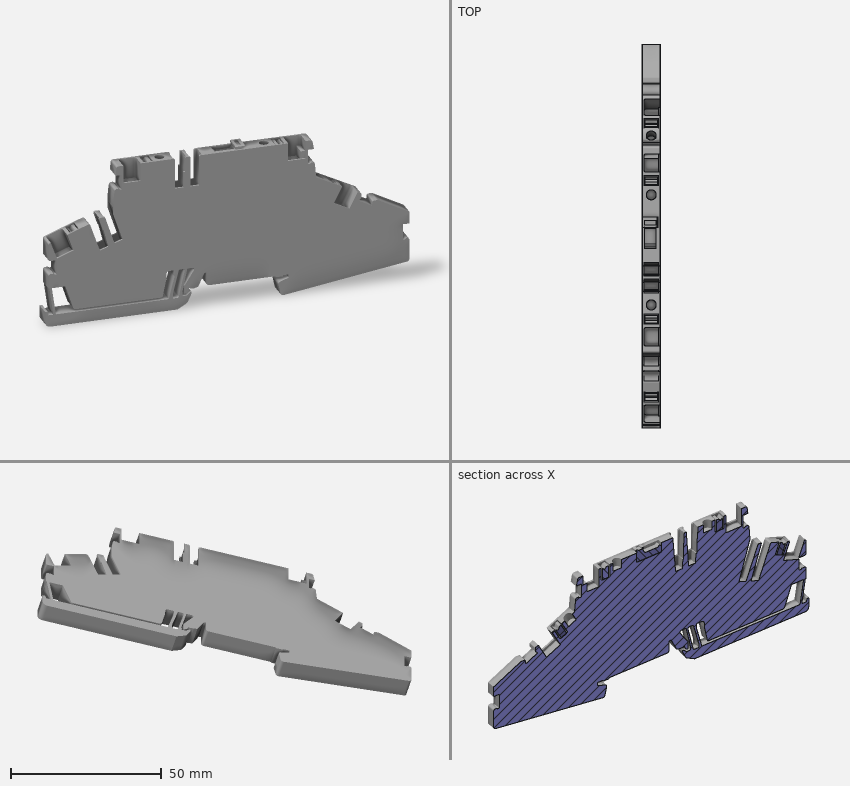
import cadquery as cq
import math

thickness = 6.1
length = 127.3
height = 56.1
top_z = 54.8
mid_x = thickness / 2

upper_notch_bottom = 46.7
upper_notch_top = 51.5
slot_floor_z = 44.0
rail_seat_z = 7.3
foot_top_z = 4.2
spring_top_z = 14.4
edge_round = 0.5
notch_lip_round = 0.8
notch_groove_width = 0.6
notch_groove_depth = 0.4
slot_skin = 0.6
hollow_floor_z = 40.2

pocket_length = 6.1
pocket_depth = 7.4
pocket_wall = 0.6
pocket_round = 0.8
side_opening_depth = 6.4
wire_stop_length = 1.5
wire_stop_depth = 3.8
button_gap = 0.4
button_slot_start = 1.1
button_slot_length = 3.3
button_slot_width = 5.0
button_slot_depth = 5.1
button_recess = 0.3
button_groove_width = 1.7
button_groove_depth = 0.9
test_hole_offset = 7.5
test_hole_diameter = 3.3
test_hole_depth = 3.4

lever_slot_x = 0.8
lever_slot_width = 3.8
lever_slot_depth = 3.8
lever_arm_end = 59.5
lever_arm_recess = 1.3
lever_ridge_width = 1.5
lever_ridge_height = 0.6
lever_ramp_length = 0.6
lever_neck_start = 66.8
lever_neck_end = 69.5
lever_head_start = 66.5
lever_head_end = 70.0
lever_head_width = 5.3
lever_head_thickness = 0.6
lever_head_chamfer = 0.4
lever_recess_start = 67.5
lever_recess_end = 68.8
lever_recess_depth = 0.5

left_slope = 27.0
left_face_low = (110.5, 33.1)
left_face_high_y = 94.7
right_slope = 20.0
right_face_low = (1.1, 30.2)
right_face_high_y = 15.5


def face_height(y, low_point, slope):
    """Height at `y` on a tilted face that rises away from `low_point`."""
    return low_point[1] + abs(y - low_point[0]) * math.tan(math.radians(slope))


def rounded_outline(corners):
    """Closed wire in the YZ plane through (y, z) or (y, z, radius) corners."""
    count = len(corners)
    cuts = []
    for i, corner in enumerate(corners):
        point = cq.Vector(*corner[:2])
        radius = corner[2] if len(corner) > 2 else 0
        if not radius:
            cuts.append((point, None, point))
            continue
        before = cq.Vector(*corners[i - 1][:2]) - point
        after = cq.Vector(*corners[(i + 1) % count][:2]) - point
        half_angle = before.getAngle(after) / 2
        setback = radius / math.tan(half_angle)
        bisector = (before.normalized() + after.normalized()).normalized()
        middle = point + bisector * (radius / math.sin(half_angle) - radius)
        cuts.append((point + before.normalized() * setback, middle, point + after.normalized() * setback))
    sketch = cq.Workplane("YZ").moveTo(cuts[0][2].x, cuts[0][2].y)
    for start, middle, end in cuts[1:] + cuts[:1]:
        sketch = sketch.lineTo(start.x, start.y)
        if middle:
            sketch = sketch.threePointArc((middle.x, middle.y), (end.x, end.y))
    return sketch.close()


def notch_lip(outer_y, z, inner_y):
    """Lower edge of a grip notch: a rounded lip outside and a shallow groove at the back."""
    inward = math.copysign(1, inner_y - outer_y)
    groove_y = inner_y - inward * notch_groove_width
    return [
        (outer_y, z, notch_lip_round),
        (groove_y - inward * notch_groove_depth, z),
        (groove_y, z - notch_groove_depth),
        (inner_y, z - notch_groove_depth),
    ]


rail_hook = [
    (length, 6.2, 1.0),
    (82.3, -0.1, 1.0),
    (81.3, 4.8, 1.0),
    (85.1, 6.1),
    (85.1, rail_seat_z),
    (83.0, rail_seat_z),
    (83.0, 6.9),
    (80.5, 6.9),
    (80.5, rail_seat_z),
    (56.4, rail_seat_z, 0.9),
    (56.4, 12.0),
    (55.6, 12.0),
]
snap_finger = [
    (53.5, 7.3),
    (52.2, 6.9),
    (50.8, 6.9),
    (50.3, 7.3),
    (50.1, 6.1),
    (49.2, 5.3),
    (48.6, 5.3),
    (48.6, 8.3),
    (52.5, spring_top_z, 0.6),
    (49.6, spring_top_z, 0.4),
    (47.8, 5.7),
    (47.8, 4.6, 0.4),
    (49.4, 4.6),
    (50.3, 5.5),
    (51.0, 5.9),
]
foot = [
    (51.0, 5.0),
    (49.6, 1.9, 1.9),
    (46.2, 0),
    (0, 0, 1.7),
    (0, 5.5),
    (0.9, 5.5),
    (1.1, foot_top_z),
    (2.8, foot_top_z),
]
right_side = [
    (1.4, 13.9),
    (1.1, 13.9),
    *notch_lip(1.1, 19.1, 4.0),
    (4.0, 23.8),
    (1.1, 23.8, edge_round),
    (*right_face_low, 0.8),
    (right_face_high_y, face_height(right_face_high_y, right_face_low, right_slope), 0.6),
]
tilted_slots = [
    (19.1, 25.2),
    (22.0, 26.2),
    (20.4, 32.5),
    (20.1, 32.5),
    (18.6, 37.0, edge_round),
    (20.9, 37.0),
    (24.2, 27.1),
    (27.0, 28.1),
    (23.8, 37.5),
]
upper_right_side = [
    (23.8, 43.3, 25.5),
    *notch_lip(24.3, upper_notch_bottom, 26.6),
    (26.6, upper_notch_top),
    (24.5, upper_notch_top),
    (25.0, top_z, 0.8),
]
post_slots = [
    (45.3, top_z, edge_round),
    (45.3, slot_floor_z),
    (48.4, slot_floor_z),
    (48.4, 49.6),
    (48.9, 49.6),
    (48.9, top_z),
    (50.8, top_z, edge_round),
    (50.8, slot_floor_z),
    (53.8, slot_floor_z),
    (53.8, top_z, edge_round),
]
upper_left_side = [
    (93.3, top_z, 0.8),
    (93.9, upper_notch_top),
    (91.9, upper_notch_top),
    *reversed(notch_lip(94.2, upper_notch_bottom, 91.9)),
    (left_face_high_y, face_height(left_face_high_y, left_face_low, left_slope)),
]
left_side = [
    (*left_face_low, 0.4),
    (110.5, 31.5),
    (109.6, 30.5),
    (114.2, 28.1),
    (114.4, 29.9, edge_round),
    (116.2, 29.9, 1.0),
    (length, 24.0),
    (length, 19.9),
    (125.0, 19.9),
    *reversed(notch_lip(length, 14.6, 125.0)),
]
housing_outline = (
    rail_hook + snap_finger + foot + right_side + tilted_slots
    + upper_right_side + post_slots + upper_left_side + left_side
)

slot_hollows = [
    [(54.8, top_z), (53.7, hollow_floor_z), (51.2, hollow_floor_z), (50.4, top_z)],
    [(49.4, top_z), (48.5, hollow_floor_z), (46.0, hollow_floor_z), (44.8, top_z)],
    [(23.8, 40.1), (28.1, 24.5), (25.5, 23.5), (20.6, 37.0)],
    [(19.0, 37.0), (23.3, 22.7), (20.4, 21.8), (15.4, 35.6)],
]

rib_slot = [
    (48.9, spring_top_z, 0.5),
    (46.7, spring_top_z, 0.6),
    (44.5, 5.7),
    (44.5, foot_top_z),
    (46.6, foot_top_z, 0.6),
]
foot_window = [
    (45.3, spring_top_z),
    (42.4, spring_top_z, 1.0),
    (42.3, 11.5),
    (41.0, 5.1, 0.6),
    (9.9, 5.1, 1.0),
    (7.0, 13.9),
    (2.3, 13.9),
    (3.7, foot_top_z),
    (43.1, foot_top_z),
    (45.2, 12.1),
]


class Terminal:
    """Frame on a housing face, whose local x runs along the face with `outward` (+1 or -1) along Y."""

    def __init__(self, y, z, outward, slope=0, has_test_hole=True, has_wire_stop=False):
        tilt = math.radians(slope)
        along = cq.Vector(0, outward * math.cos(tilt), -math.sin(tilt))
        normal = cq.Vector(0, outward * math.sin(tilt), math.cos(tilt))
        self.plane = cq.Plane(origin=(mid_x, y, z), xDir=along, normal=normal)
        self.plus_x = -outward
        self.has_test_hole = has_test_hole
        self.has_wire_stop = has_wire_stop

    def block(self, start, end, width, depth):
        """Box sunk below the face from `start` to `end`, centred across the thickness."""
        face = cq.Workplane(self.plane).center((start + end) / 2, 0)
        return face.rect(end - start, width).extrude(-depth)


left_pocket_y = 103.7
right_pocket_y = 7.6
terminals = [
    Terminal(left_pocket_y, face_height(left_pocket_y, left_face_low, left_slope), 1, left_slope),
    Terminal(84.9, top_z, 1, has_wire_stop=True),
    Terminal(33.3, top_z, -1),
    Terminal(
        right_pocket_y,
        face_height(right_pocket_y, right_face_low, right_slope),
        -1,
        right_slope,
        has_test_hole=False,
    ),
]


def wire_pocket(terminal):
    """Rectangular wire entry, rounded on its -X side and open through the +X wall."""
    width = thickness - 2 * pocket_wall
    pocket = terminal.block(0, pocket_length, width, pocket_depth)
    corner_edges = cq.selectors.ParallelDirSelector(terminal.plane.zDir)
    pocket = pocket.faces("<X").edges(corner_edges).fillet(pocket_round)
    if terminal.has_wire_stop:
        stop_start = pocket_length - wire_stop_length
        stop = terminal.block(stop_start, pocket_length, thickness, pocket_depth)
        stop = stop.cut(terminal.block(stop_start, pocket_length, thickness, wire_stop_depth))
        pocket = pocket.cut(stop)
    side_opening = (
        cq.Workplane(terminal.plane)
        .center(pocket_length / 2, terminal.plus_x * mid_x)
        .rect(pocket_length, 2 * pocket_wall)
        .extrude(-side_opening_depth)
    )
    return pocket.union(side_opening)


def button_slot(terminal):
    inner_end = -(button_slot_start + button_slot_length)
    return terminal.block(inner_end, -button_slot_start, button_slot_width, button_slot_depth)


def test_hole(terminal):
    face = cq.Workplane(terminal.plane).center(-test_hole_offset, 0)
    return face.circle(test_hole_diameter / 2).extrude(-test_hole_depth)


def lever_slot():
    return (
        cq.Workplane("XY", origin=(lever_slot_x, lever_arm_end, top_z))
        .rect(lever_slot_width, lever_neck_end - lever_arm_end, centered=False)
        .extrude(-lever_slot_depth)
    )


def make_housing():
    housing = rounded_outline(housing_outline).extrude(thickness)
    for opening in (rib_slot, foot_window):
        housing = housing.cut(rounded_outline(opening).extrude(thickness))
    for terminal in terminals:
        housing = housing.cut(wire_pocket(terminal)).cut(button_slot(terminal))
        if terminal.has_test_hole:
            housing = housing.cut(test_hole(terminal))
    for hollow in slot_hollows:
        section = cq.Workplane("YZ", origin=(slot_skin, 0, 0)).polyline(hollow).close()
        housing = housing.cut(section.extrude(thickness - 2 * slot_skin))
    return housing.cut(lever_slot())


def make_release_button(terminal):
    """Push button standing on the floor of its slot, with a V groove next to the wire pocket."""
    start = button_gap - button_slot_start - button_slot_length
    end = -button_slot_start - button_gap
    button = terminal.block(start, end, button_slot_width - 2 * button_gap, button_slot_depth)
    above_top = terminal.block(start, end, thickness, button_recess)
    groove_plane = cq.Plane(
        origin=terminal.plane.toWorldCoords((0, 0, -button_recess)),
        xDir=terminal.plane.xDir,
        normal=-terminal.plane.yDir,
    )
    groove = (
        cq.Workplane(groove_plane)
        .polyline([
            (end, 0),
            (end - button_groove_width, 0),
            (end - button_groove_width / 2, -button_groove_depth),
        ])
        .close()
        .extrude(mid_x, both=True)
    )
    return button.cut(above_top).cut(groove)


def make_lever():
    """Disconnect lever: an arm with an end ridge in the slot, and a flanged head above the housing."""
    arm_top = top_z - lever_arm_recess
    slot_floor = top_z - lever_slot_depth
    arm = (
        cq.Workplane("YZ", origin=(lever_slot_x, 0, 0))
        .polyline([
            (lever_arm_end, slot_floor),
            (lever_neck_end, slot_floor),
            (lever_neck_end, top_z),
            (lever_neck_start, top_z),
            (lever_neck_start - lever_ramp_length, arm_top),
            (lever_arm_end + lever_ridge_width, arm_top),
            (lever_arm_end + lever_ridge_width / 2, arm_top + lever_ridge_height),
            (lever_arm_end, arm_top),
        ])
        .close()
        .extrude(lever_slot_width)
    )
    neck = (
        cq.Workplane("XY", origin=(0, lever_neck_start, top_z))
        .rect(lever_head_width, lever_neck_end - lever_neck_start, centered=False)
        .extrude(height - lever_head_thickness - top_z)
    )
    head = (
        cq.Workplane("XY", origin=(0, lever_head_start, height))
        .rect(lever_head_width, lever_head_end - lever_head_start, centered=False)
        .extrude(-lever_head_thickness)
        .edges(">X and >Z")
        .chamfer(lever_head_chamfer)
    )
    recess = (
        cq.Workplane("XY", origin=(lever_slot_x, lever_recess_start, height))
        .rect(lever_slot_width, lever_recess_end - lever_recess_start, centered=False)
        .extrude(-lever_recess_depth)
    )
    return arm.union(neck).union(head).cut(recess)


housing = make_housing()
lever = make_lever()
release_buttons = [make_release_button(terminal) for terminal in terminals]

result = cq.Compound.makeCompound([
    housing.val(),
    lever.val(),
    *[button.val() for button in release_buttons],
])